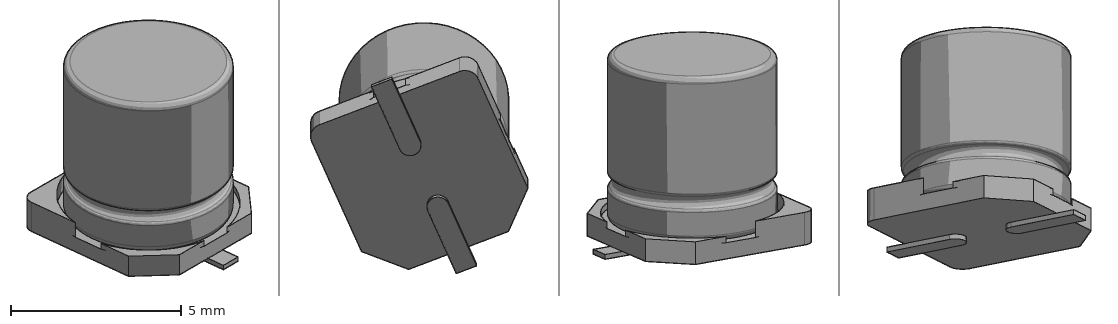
import cadquery as cq

length = 6.5
height = 5.7

lead_thickness = 0.15
lead_width = 0.65
lead_inner_end = 0.75

base_side = 5.3
tall_top = 1.15
low_top = 0.845
corner_radius = 0.415
corner_chamfer = 1.06
pocket_radius = 2.7
pocket_floor = 0.65

can_radius = 5.0 / 2
can_edge_radius = 0.195

groove_middle = 1.85
groove_radius = 0.2
groove_lip_radius = 0.1


def make_base():
    base_bottom = lead_thickness
    base = (
        cq.Workplane("XY", origin=(0, 0, base_bottom))
        .rect(base_side, base_side)
        .extrude(tall_top - base_bottom)
        .edges("|Z and <X").fillet(corner_radius)
        .edges("|Z and >X").chamfer(corner_chamfer)
    )
    lowered_half = (
        cq.Workplane("XY", origin=(0, 0, low_top))
        .rect(base_side, base_side)
        .extrude(tall_top - low_top)
        .translate((base_side / 2, 0, 0))
    )
    pocket = (
        cq.Workplane("XY", origin=(0, 0, pocket_floor))
        .circle(pocket_radius)
        .extrude(tall_top - pocket_floor)
    )
    return base.cut(lowered_half).cut(pocket)


def make_can():
    can = (
        cq.Workplane("XY", origin=(0, 0, pocket_floor))
        .circle(can_radius)
        .extrude(height - pocket_floor)
        .edges("%CIRCLE").fillet(can_edge_radius)
    )
    ring_centre = cq.Vector(0, 0, groove_middle)
    ring = cq.Workplane(cq.Solid.makeTorus(can_radius, groove_radius, ring_centre))
    lips = cq.selectors.BoxSelector(
        (-groove_radius, -groove_radius, groove_middle - 2 * groove_radius),
        (groove_radius, groove_radius, groove_middle + 2 * groove_radius),
    )
    return can.cut(ring).edges(lips).fillet(groove_lip_radius)


def make_lead():
    """Flat lead on the +X side, with a half-round inner end."""
    end_radius = lead_width / 2
    round_start = lead_inner_end + end_radius
    return (
        cq.Workplane("XY")
        .moveTo(length / 2, -end_radius)
        .lineTo(length / 2, end_radius)
        .lineTo(round_start, end_radius)
        .threePointArc((lead_inner_end, 0), (round_start, -end_radius))
        .close()
        .extrude(lead_thickness)
    )


lead = make_lead()
result = make_base().union(make_can()).union(lead).union(lead.mirror("YZ"))